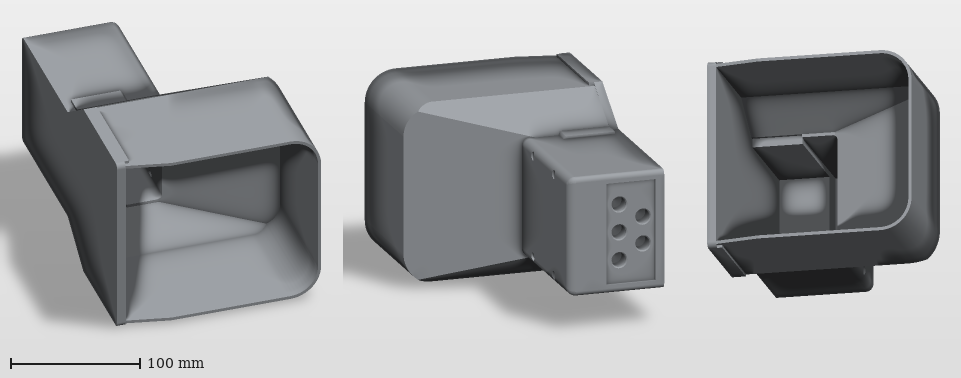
import cadquery as cq
import math

overall_length = 242.5
overall_depth = 164.0
inside_overrun = 10.0

base_length = 236.25
base_half_width = 75.0
narrow_half_width = 48.0
end_corner_radius = 4.0
base_wall = 7.0
base_slope_start = 113.25
base_slope_end = 152.5
base_corner_radius = 4.0
joint_height = 47.0
lip_height = 11.0

hood_wall = 2.5
tunnel_height = 78.0
tunnel_edge_radius = 6.5
hood_half_width = 72.75
hood_slope_start = 111.75
hood_slope_end = 150.25
hood_edge_radius = 25.0
front_top_x = 146.9
front_lean = 0.366
undercut_height = 42.0
undercut_bottom_x = 235.5
flap_start = 100.25
flap_thickness = 2.25
hood_hole_diameter = 7.0
hood_hole_half_spacing = 40.75
hood_hole_positions = (36.75, 88.0)

port_block_recess = 2.5
port_block_thickness = 20.0
hole_diameter = 11.45
hole_mouth_diameter = 13.15
hole_depth = 12.0
hole_tip_depth = 3.5
hole_upper_row = 35.85
hole_upper_pitch = 22.5
hole_lower_row = 16.55
hole_lower_pitch = 21.75

port_block_half_width = narrow_half_width - base_wall


def box(x_range, y_range, z_range):
    """A box given by its limits along the three axes."""
    size = [high - low for low, high in (x_range, y_range, z_range)]
    corner = (x_range[0], y_range[0], z_range[0])
    return cq.Workplane("XY").box(*size, centered=False).translate(corner)


def plan_prism(outline, y_low, y_high):
    """Extrude an outline given in X and Z from y_low up to y_high."""
    plane = cq.Workplane("XZ", origin=(0, y_low, 0))
    return plane.polyline(outline).close().extrude(y_low - y_high)


def mirrored(upper):
    """Close an XZ outline by mirroring its upper points about Z = 0."""
    return upper + [(x, -z) for x, z in reversed(upper)]


def make_base():
    floor_edge = [
        (0, narrow_half_width),
        (base_slope_start, narrow_half_width),
        (base_slope_end, base_half_width),
        (base_length, base_half_width),
    ]
    base = plan_prism(mirrored(floor_edge), 0, base_wall)
    base = base.edges("|Y and >X").fillet(base_corner_radius)
    for side in (-1, 1):
        wall_z = sorted((side * port_block_half_width, side * narrow_half_width))
        base = base.union(box((0, base_slope_start), (0, joint_height), wall_z))
        lip_z = sorted((side * hood_half_width, side * base_half_width))
        lip_end = base_length - base_corner_radius
        base = base.union(box((base_slope_end, lip_end), (0, lip_height), lip_z))
    return base.edges("|Y and <X").edges(">Z or <Z").fillet(end_corner_radius)


def wide_housing(inset, end):
    """The tall housing filled solid, with every outer face moved inward by inset."""
    slope_angle = math.atan2(hood_half_width - narrow_half_width, hood_slope_end - hood_slope_start)
    shift = inset / math.sin(slope_angle)
    widening = math.tan(slope_angle)
    wide = hood_half_width - inset
    start = hood_slope_start + shift
    wide_start = hood_slope_end + shift - inset / widening
    top = overall_depth - inset
    side_edge = [(start, narrow_half_width), (wide_start, wide), (end, wide)]
    housing = plan_prism(mirrored(side_edge), base_wall, top)
    housing = housing.edges("|X and >Y").fillet(hood_edge_radius - inset)

    lean_shift = inset * math.hypot(1, front_lean)

    def front_x(y):
        return front_top_x + lean_shift - front_lean * (overall_depth - y)

    side_profile = [(front_x(base_wall), base_wall), (end, base_wall), (end, top), (front_x(top), top)]
    leaning = cq.Workplane("XY").polyline(side_profile).close().extrude(hood_half_width, both=True)
    return housing.intersect(leaning)


def flap(side):
    """A flap that overlaps the outside of the tray wall, with a sloping top edge."""
    outer = narrow_half_width + flap_thickness
    profile = [
        (base_wall, narrow_half_width),
        (base_wall, outer),
        (joint_height, outer),
        (joint_height + flap_thickness, narrow_half_width),
    ]
    widening = (hood_half_width - narrow_half_width) / (hood_slope_end - hood_slope_start)
    end = hood_slope_start + flap_thickness / widening
    points = [(y, side * z) for y, z in profile]
    plane = cq.Workplane("YZ", origin=(flap_start, 0, 0))
    return plane.polyline(points).close().extrude(end - flap_start)


def make_hood():
    tunnel = box((0, hood_slope_end), (joint_height, tunnel_height),
                 (-narrow_half_width, narrow_half_width))
    tunnel = tunnel.faces(">Y").edges("not(>X)").fillet(tunnel_edge_radius)
    tunnel = tunnel.edges("|Y and <X").fillet(end_corner_radius)
    hood = wide_housing(0, overall_length).union(tunnel)
    for side in (-1, 1):
        hood = hood.union(flap(side))

    tunnel_inner = narrow_half_width - hood_wall
    hood = hood.cut(wide_housing(hood_wall, overall_length + inside_overrun))
    tunnel_space = box((hood_wall, hood_slope_end), (joint_height, tunnel_height - hood_wall),
                       (-tunnel_inner, tunnel_inner))
    tunnel_space = tunnel_space.faces(">Y").edges("not(>X)").fillet(tunnel_edge_radius - hood_wall)
    hood = hood.cut(tunnel_space)
    hood = hood.cut(box((0, hood_slope_end), (base_wall, joint_height),
                        (-narrow_half_width, narrow_half_width)))

    undercut = (
        cq.Workplane("XY")
        .moveTo(undercut_bottom_x, base_wall)
        .lineTo(overall_length, base_wall)
        .lineTo(overall_length, undercut_height)
        .close()
        .extrude(base_half_width, both=True)
    )
    hood = hood.cut(undercut)
    hole_centres = [(x, side * hood_hole_half_spacing) for x in hood_hole_positions for side in (-1, 1)]
    plane = cq.Workplane("XZ", origin=(0, tunnel_height, 0)).pushPoints(hole_centres)
    hood = hood.cut(plane.circle(hood_hole_diameter / 2).extrude(hood_wall))
    return hood


def port_hole_centres():
    upper = [(hole_upper_row, step * hole_upper_pitch) for step in (-1, 0, 1)]
    lower = [(hole_lower_row, step * hole_lower_pitch) for step in (-0.5, 0.5)]
    return upper + lower


def port_hole(y, z):
    """A blind hole along X with a chamfered mouth and a conical end."""
    radius = hole_diameter / 2
    mouth_radius = hole_mouth_diameter / 2
    chamfer = mouth_radius - radius
    half_profile = [
        (0, 0),
        (0, mouth_radius),
        (chamfer, radius),
        (hole_depth, radius),
        (hole_depth + hole_tip_depth, 0),
    ]
    hole = cq.Workplane("XY").polyline(half_profile).close().revolve(360, (0, 0, 0), (1, 0, 0))
    return hole.translate((port_block_recess, y, z))


def make_port_block():
    port_block = box((port_block_recess, port_block_recess + port_block_thickness),
                     (base_wall, joint_height),
                     (-port_block_half_width, port_block_half_width))
    for y, z in port_hole_centres():
        port_block = port_block.cut(port_hole(y, z))
    return port_block


base = make_base()
hood = make_hood()
port_block = make_port_block()

result = cq.Compound.makeCompound([base.solids().val(), hood.solids().val(), port_block.solids().val()])